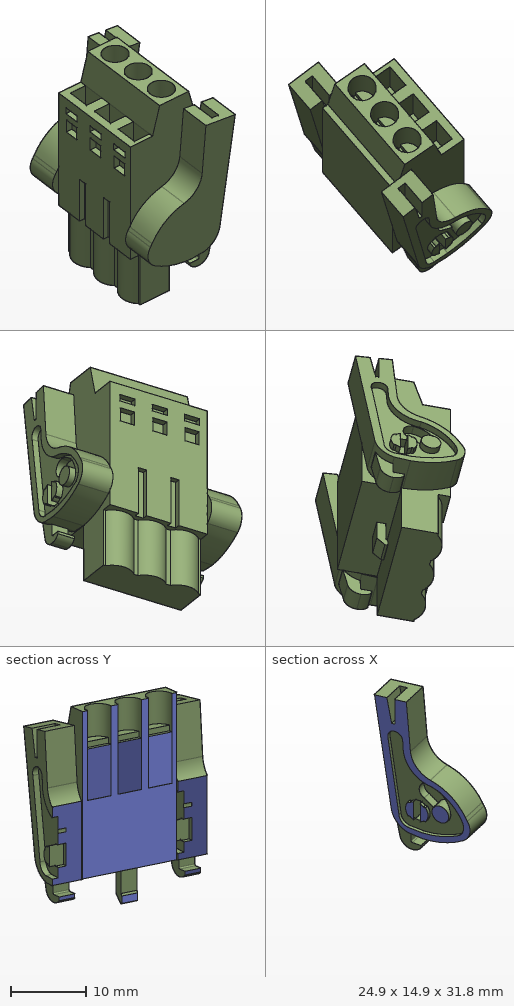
import cadquery as cq


total_width = 24.93
total_height = 31.8
poles = 3
pitch = 5.05
screw_pitch = 4.9

housing_width = 15.2
housing_bottom = 8.43
housing_back = 4.58
housing_front = -7.47
shoulder_z = 27.25
tower_top_half = 2.48
tower_foot_half = 3.7

plug_back = -0.83
plug_front = -5.82
rib_bulge = 1.0
rib_chord = 4.42

well_shift = 0.2
well_width = 3.45
well_front_wall = 1.2
well_depth = 5.72
window_depth = 0.95
upper_window_width = 2.35
upper_window_bottom = 24.7
upper_window_height = 1.0
lower_window_width = 2.2
lower_window_bottom = 21.7
lower_window_height = 2.0

groove_width = 1.25
groove_depth = 0.8
groove_top = 15.4

latch_width = 2.58
latch_back = 1.18
latch_front = -0.05
latch_tip_front = -0.38

screw_diameter = 3.72
screw_top = shoulder_z
screw_length = 7.95
screw_slot_width = 0.57
screw_slot_depth = 0.8

lever_width = 4.75
lever_recess_depth = 0.95
cam_depth = 2.23
tip_slot_depth = 3.7
hook_inset = 1.1
hook_width = latch_width

pivot_y = -0.1
pivot_z = 12.35
pivot_radius = 1.55
barb_radius = 1.78
barb_half_height = 1.15
split_width = 1.02

cam_pin_y = -3.75
cam_pin_z = 13.2
cam_pin_radius = 1.35


def box(x0, x1, y0, y1, z0, z1):
    """Box between two opposite corners."""
    return cq.Workplane("XY").box(x1 - x0, y1 - y0, z1 - z0, centered=False).translate((x0, y0, z0))


def side_sketch(x):
    """Workplane facing +X at the given x, with local coordinates (Y, Z)."""
    return cq.Workplane("YZ", origin=(x, 0, 0))


def pole_positions(count, spacing):
    """X positions of evenly spaced features centred on X = 0."""
    return [(i - (count - 1) / 2) * spacing for i in range(count)]


def housing_block():
    return (
        side_sketch(-housing_width / 2)
        .polyline([
            (housing_back, housing_bottom),
            (housing_back, shoulder_z),
            (tower_foot_half, shoulder_z),
            (tower_top_half, total_height),
            (-tower_top_half, total_height),
            (-tower_foot_half, shoulder_z),
            (housing_front, shoulder_z),
            (housing_front, housing_bottom),
        ])
        .close()
        .extrude(housing_width)
    )


def plug():
    """Plug below the housing, with one rounded rib per pole along its front."""
    half = housing_width / 2
    outline = cq.Workplane("XY").moveTo(-half, plug_back).lineTo(-half, plug_front)
    for x in pole_positions(poles, pitch):
        outline = outline.lineTo(x - rib_chord / 2, plug_front).threePointArc(
            (x, plug_front - rib_bulge), (x + rib_chord / 2, plug_front)
        )
    return outline.lineTo(half, plug_front).lineTo(half, plug_back).close().extrude(housing_bottom)


def latch():
    """Downward spring latch with a forward barb, hanging from the housing's underside."""
    return (
        side_sketch(-latch_width / 2)
        .moveTo(latch_back, housing_bottom)
        .lineTo(latch_back, 5.02)
        .lineTo(0.05, 3.88)
        .threePointArc((-0.2, 3.88), (latch_tip_front, 4.13))
        .lineTo(latch_tip_front, 4.65)
        .lineTo(latch_front, 5.28)
        .lineTo(latch_front, housing_bottom)
        .close()
        .extrude(latch_width)
    )


def front_window(x, width, bottom, height):
    return box(x - width / 2, x + width / 2, housing_front, housing_front + window_depth, bottom, bottom + height)


def wire_well(x):
    return box(
        x - well_width / 2, x + well_width / 2,
        housing_front + well_front_wall, -tower_foot_half,
        shoulder_z - well_depth, shoulder_z,
    )


def front_groove(x):
    return box(
        x - groove_width / 2, x + groove_width / 2,
        housing_front, housing_front + groove_depth,
        housing_bottom, groove_top,
    )


def screw_hole(x):
    bottom = screw_top - screw_length
    return cq.Workplane("XY", origin=(x, 0, bottom)).circle(screw_diameter / 2).extrude(total_height - bottom)


def make_housing():
    body = housing_block()
    for x in pole_positions(poles - 1, pitch):
        body = body.cut(front_groove(x))
    for x in pole_positions(poles, pitch):
        well_x = x + well_shift
        body = body.cut(wire_well(well_x))
        body = body.cut(front_window(well_x, upper_window_width, upper_window_bottom, upper_window_height))
        body = body.cut(front_window(well_x, lower_window_width, lower_window_bottom, lower_window_height))
    for x in pole_positions(poles, screw_pitch):
        body = body.cut(screw_hole(x))
    return body.union(plug()).union(latch())


def make_screw(x):
    """Slotted cylinder filling the lower part of its hole."""
    radius = screw_diameter / 2
    body = cq.Workplane("XY", origin=(x, 0, screw_top - screw_length)).circle(radius).extrude(screw_length)
    slot = box(
        x - radius, x + radius,
        -screw_slot_width / 2, screw_slot_width / 2,
        screw_top - screw_slot_depth, screw_top,
    )
    return body.cut(slot)


def lever_plate():
    """Arm rising to the tip at the back, with a rounded nose at the front."""
    return (
        side_sketch(0)
        .moveTo(6.52, 28.87)
        .lineTo(1.5, 29.45)
        .lineTo(0.85, 21.72)
        .threePointArc((-0.05, 19.53), (-2.23, 18.2))
        .threePointArc((-5.2, 16.85), (-7.7, 14.1))
        .lineTo(-7.98, 13.6)
        .threePointArc((-8.4, 12.35), (-7.3, 10.2))
        .threePointArc((-4.4, 8.85), (-0.95, 8.3))
        .lineTo(1.25, 8.5)
        .threePointArc((3.0, 9.55), (3.88, 11.25))
        .close()
        .extrude(lever_width)
    )


def lever_recess():
    """Recess following the lever outline inside a raised rim."""
    return (
        side_sketch(0)
        .moveTo(4.32, 22.58)
        .threePointArc((3.25, 24.05), (2.13, 22.9))
        .lineTo(2.07, 22.07)
        .threePointArc((0.9, 18.75), (-2.42, 17.1))
        .threePointArc((-5.18, 15.65), (-7.05, 13.3))
        .threePointArc((-7.3, 12.08), (-6.75, 10.9))
        .threePointArc((-4.07, 9.8), (-0.95, 9.3))
        .lineTo(1.27, 9.4)
        .threePointArc((2.15, 9.85), (2.65, 10.97))
        .close()
        .extrude(lever_recess_depth)
    )


def cam_slot():
    """Curved slot sunk below the recess floor and ending around the cam pin."""
    return (
        side_sketch(0)
        .moveTo(cam_pin_y - cam_pin_radius, cam_pin_z)
        .threePointArc((-3.95, 15.87), (-1.6, 17.08))
        .threePointArc((-0.2, 15.93), (-0.95, 14.6))
        .lineTo(-2.4, 13.6)
        .lineTo(cam_pin_y, cam_pin_z)
        .close()
        .extrude(cam_depth)
    )


def cam_pin():
    return side_sketch(0).center(cam_pin_y, cam_pin_z).circle(cam_pin_radius).extrude(cam_depth)


def pivot():
    """Round pivot with a snap barb on each side."""
    core = side_sketch(0).center(pivot_y, pivot_z).circle(pivot_radius).extrude(lever_recess_depth)
    barbs = side_sketch(0).center(pivot_y, pivot_z).circle(barb_radius).extrude(lever_recess_depth)
    band = box(
        0, lever_recess_depth,
        pivot_y - barb_radius, pivot_y + barb_radius,
        pivot_z - barb_half_height, pivot_z + barb_half_height,
    )
    return core.union(barbs.intersect(band))


def pivot_split():
    return box(
        0, cam_depth,
        pivot_y - split_width / 2, pivot_y + split_width / 2,
        pivot_z - pivot_radius, pivot_z + pivot_radius,
    )


def tip_slot():
    """Tapered slot in the lever's tip, open at the top and on the -X face."""
    return (
        side_sketch(0)
        .polyline([(4.5, 29.1), (4.5, total_height), (3.35, total_height), (3.35, 25.25), (3.8, 25.25)])
        .close()
        .extrude(tip_slot_depth)
    )


def hook():
    """J-shaped hook reaching forward below the lever."""
    return (
        side_sketch(hook_inset)
        .moveTo(3.6, 10.35)
        .lineTo(2.93, 7.12)
        .threePointArc((2.32, 6.0), (1.1, 5.53))
        .threePointArc((0.32, 5.7), (-0.38, 6.25))
        .lineTo(-0.38, 6.65)
        .lineTo(1.0, 6.65)
        .threePointArc((1.1, 6.7), (1.18, 6.85))
        .lineTo(1.18, 10.35)
        .close()
        .extrude(hook_width)
    )


def make_lever(x):
    """Lever whose -X face lies at x; both levers face the same way."""
    body = lever_plate().cut(lever_recess()).cut(cam_slot())
    body = body.union(cam_pin()).union(pivot())
    body = body.cut(pivot_split()).cut(tip_slot()).union(hook())
    return body.translate((x, 0, 0))


housing = make_housing()
screws = [make_screw(x) for x in pole_positions(poles, screw_pitch)]
levers = [make_lever(x) for x in (-total_width / 2, total_width / 2 - lever_width)]

result = cq.Compound.makeCompound([housing.val(), *[body.val() for body in screws + levers]])